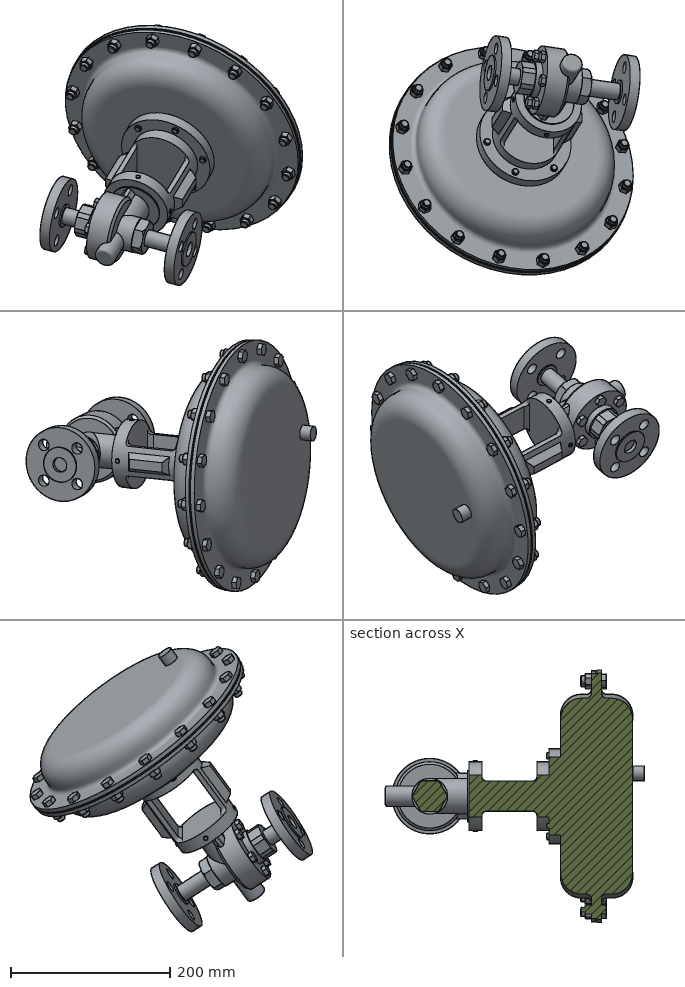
import cadquery as cq
import math

OVERLAP = 1.5

stub_end = -56.0
plate_bottom = 47.0
yoke_bottom = 49.0
window_bottom = 65.7
window_top = 134.3
hub_bottom = 149.5
casing_bottom = 164.0
rim_bottom = 203.0
rim_top = 215.5
casing_top = 255.0
port_end = 269.3

casing_radius = 128.0
casing_round = 26.7
rim_fillet = 6.2
cover_rim_radius = 158.7
cover_rim_bottom = 209.8
base_rim_radius = 157.7
base_rim_top = 207.8
diaphragm_radius = 157.5
port_radius = 9.5
port_x = -84.0
port_z = 28.5

rim_bolt_count = 16
rim_bolt_circle = 147.5
first_bolt_angle = 15.0
nut_radius = 8.0
nut_height = 8.0
nut_chamfer = 1.3
nut_turn = -7.5
head_turn = 30.0
head_height = 6.2
stud_radius = 5.2
stud_chamfer = 1.0
stud_projection = 5.5

hub_radius = 60.0
hub_screw_count = 6
hub_screw_circle = 52.5
hub_screw_radius = 4.2
hub_screw_height = 3.3
hub_screw_chamfer = 1.0

yoke_radius = 43.3
arm_half_width = 19.2
arm_fillet = 5.0
window_half_width = 32.5
gusset_width = 3.3
gusset_height = 6.2
plate_radius = 32.5
set_screw_y = 57.2
set_screw_radius = 3.0
set_screw_projection = 1.3
set_screw_chamfer = 0.5

pad_root_x = 40.3
pad_face_x = 52.0
pad_length = 58.2
pad_width = 25.5
pad_setback = 6.5

body_left = -29.3
body_right = 1.0
body_radius = 43.3
body_chamfer = 3.3
stub_radius = 13.0
stub_round = 3.0
neck_x = -3.3
bonnet_left = -15.3
bonnet_right = 0.0
bonnet_half_width = 29.0
bonnet_chamfer_x = 5.2
bonnet_chamfer_z = 6.5
body_bolt_count = 6
body_bolt_circle = 34.0
first_body_bolt_angle = 90.0
body_bolt_radius = 7.0
body_bolt_height = 5.5

collar_radius = 22.5
collar_left = -37.7
left_nut_end = -55.0
left_nut_flat = 20.5
right_nut_start = 21.0
right_nut_end = 35.8
pipe_nut_chamfer = 2.3
pipe_radius = 10.7
bore_radius = 9.5
bore_depth = 5.0
flange_radius = 47.5
flange_inner = 77.7
flange_outer = 90.7
flange_face_radius = 22.5
flange_face_end = 92.7
flange_hub_radius = 15.0
flange_hub_start = 75.8
flange_hole_count = 4
flange_hole_radius = 7.0
flange_hole_circle = 32.5
first_flange_hole_angle = 45.0


def y_cylinder(radius, y_start, y_end, x=0.0, z=0.0):
    """Cylinder along Y, from the lower to the higher station."""
    return cq.Workplane("XZ", origin=(x, y_start, z)).circle(radius).extrude(y_start - y_end)


def x_cylinder(radius, x_start, x_end, y=0.0, z=0.0):
    """Cylinder along X, from the lower to the higher station."""
    return cq.Workplane("YZ", origin=(x_start, y, z)).circle(radius).extrude(x_end - x_start)


def box_between(x_range, y_range, z_range):
    """Box between two stations on each axis."""
    size = [high - low for low, high in (x_range, y_range, z_range)]
    corner = (x_range[0], y_range[0], z_range[0])
    return cq.Workplane("XY").box(*size, centered=False).translate(corner)


def hexagon(plane, radius, turn, length):
    """Hexagonal prism with one corner at the given angle in its plane."""
    return cq.Workplane(plane).polygon(6, 2 * radius).extrude(length).rotate(
        (0, 0, 0), cq.Plane.named(plane).zDir.toTuple(), turn)


def ring_positions(count, radius, first_angle):
    """Angle and the two in-plane coordinates of equally spaced places on a circle."""
    places = []
    for index in range(count):
        angle = first_angle + index * 360.0 / count
        turn = math.radians(angle)
        places.append((angle, radius * math.cos(turn), radius * math.sin(turn)))
    return places


def half_casing(rim_face, flat_face):
    """Pressed dish whose fillet starts at the rim and whose round ends at the flat face."""
    outward = math.copysign(1.0, flat_face - rim_face)
    bend = math.sqrt(0.5)
    fillet_mid = rim_fillet * (1 - bend)
    return (
        cq.Workplane("XY")
        .moveTo(0, rim_face)
        .lineTo(casing_radius + rim_fillet, rim_face)
        .threePointArc(
            (casing_radius + fillet_mid, rim_face + outward * fillet_mid),
            (casing_radius, rim_face + outward * rim_fillet),
        )
        .lineTo(casing_radius, flat_face - outward * casing_round)
        .threePointArc(
            (casing_radius - casing_round * (1 - bend), flat_face - outward * casing_round * (1 - bend)),
            (casing_radius - casing_round, flat_face),
        )
        .lineTo(0, flat_face)
        .close()
        .revolve(360, (0, 0, 0), (0, 1, 0))
    )


def make_casing():
    casing = y_cylinder(base_rim_radius, rim_bottom, base_rim_top)
    casing = casing.union(y_cylinder(diaphragm_radius, base_rim_top, cover_rim_bottom))
    casing = casing.union(y_cylinder(cover_rim_radius, cover_rim_bottom, rim_top))
    casing = casing.union(half_casing(rim_bottom, casing_bottom))
    casing = casing.union(half_casing(rim_top, casing_top))
    return casing.union(y_cylinder(port_radius, casing_top - OVERLAP, port_end, port_x, port_z))


def make_rim_bolt():
    """Bolt at the origin of X and Z: nut and stud end below the rim, head above it."""
    nut_bottom = rim_bottom - nut_height
    nut = hexagon("XZ", nut_radius, nut_turn, nut_height).translate((0, rim_bottom, 0))
    nut_cone = y_cylinder(nut_radius, nut_bottom, rim_bottom).faces("<Y").chamfer(nut_chamfer)
    head = hexagon("XZ", nut_radius, head_turn, head_height).translate((0, rim_top + head_height, 0))
    stud = y_cylinder(stud_radius, nut_bottom - stud_projection, rim_top)
    stud = stud.faces("<Y").chamfer(stud_chamfer)
    return nut.intersect(nut_cone).union(stud).union(head)


def add_rim_bolts(part):
    bolt = make_rim_bolt()
    for angle, x, z in ring_positions(rim_bolt_count, rim_bolt_circle, first_bolt_angle):
        part = part.union(bolt.rotate((0, 0, 0), (0, 1, 0), -angle).translate((x, 0, z)))
    return part


def make_hub():
    hub = y_cylinder(hub_radius, hub_bottom, casing_bottom + OVERLAP)
    for _, x, z in ring_positions(hub_screw_count, hub_screw_circle, first_bolt_angle):
        screw = y_cylinder(hub_screw_radius, hub_bottom - hub_screw_height, hub_bottom + OVERLAP, x, z)
        hub = hub.union(screw.faces("<Y").chamfer(hub_screw_chamfer))
    return hub


def make_pad():
    """Tapered pad on the +X arm."""
    taper = math.degrees(math.atan(pad_setback / (pad_face_x - pad_root_x)))
    middle = (window_bottom + window_top) / 2
    return (
        cq.Workplane("YZ", origin=(pad_root_x, middle, 0))
        .rect(pad_length, pad_width)
        .extrude(pad_face_x - pad_root_x, taper=taper)
    )


def make_yoke():
    yoke = y_cylinder(yoke_radius, yoke_bottom, hub_bottom + OVERLAP)
    reach = 2 * yoke_radius
    heights = (window_bottom, window_top)
    for z_range, arm_side in (((arm_half_width, reach), "<Z"), ((-reach, -arm_half_width), ">Z")):
        side_cut = box_between((-reach, reach), heights, z_range)
        yoke = yoke.cut(side_cut.faces(arm_side).edges("|X").fillet(arm_fillet))

    window = (
        cq.Workplane("XY", origin=(0, 0, -reach))
        .moveTo(-window_half_width, window_top)
        .lineTo(window_half_width, window_top)
        .lineTo(window_half_width, window_bottom + gusset_height)
        .lineTo(window_half_width - gusset_width, window_bottom)
        .lineTo(gusset_width - window_half_width, window_bottom)
        .lineTo(-window_half_width, window_bottom + gusset_height)
        .close()
        .extrude(2 * reach)
    )
    yoke = yoke.cut(window)

    pad = make_pad()
    yoke = yoke.union(pad).union(pad.mirror("YZ"))

    screw_reach = yoke_radius + set_screw_projection
    screw_pair = x_cylinder(set_screw_radius, -screw_reach, screw_reach, set_screw_y)
    screw_pair = screw_pair.faces("<X or >X").chamfer(set_screw_chamfer)
    yoke = yoke.union(screw_pair).union(screw_pair.rotate((0, 0, 0), (0, 1, 0), 90))
    return yoke.union(y_cylinder(plate_radius, plate_bottom, yoke_bottom + OVERLAP))


def make_bonnet():
    """Block with bevelled corners that joins the valve body to the yoke plate."""
    side = bonnet_half_width - bonnet_chamfer_z
    outline = [
        (bonnet_left, -side),
        (bonnet_left + bonnet_chamfer_x, -bonnet_half_width),
        (bonnet_right - bonnet_chamfer_x, -bonnet_half_width),
        (bonnet_right, -side),
        (bonnet_right, side),
        (bonnet_right - bonnet_chamfer_x, bonnet_half_width),
        (bonnet_left + bonnet_chamfer_x, bonnet_half_width),
        (bonnet_left, side),
    ]
    return cq.Workplane("XZ").polyline(outline).close().extrude(-(plate_bottom + OVERLAP))


def make_neck():
    """Side of the neck that stands clear of the bonnet and meets the collar in a mitre."""
    top = plate_bottom + OVERLAP
    clear_side = box_between((bonnet_right - OVERLAP, body_radius), (0, top), (-body_radius, body_radius))
    return y_cylinder(collar_radius, 0, top, neck_x).intersect(clear_side)


def make_valve_body():
    body = x_cylinder(body_radius, body_left, body_right).faces(">X").chamfer(body_chamfer)
    body = body.union(x_cylinder(collar_radius, 0, right_nut_start + OVERLAP))
    body = body.union(x_cylinder(collar_radius, collar_left, body_left + OVERLAP))
    body = body.union(make_neck()).union(make_bonnet())
    stub = y_cylinder(stub_radius, stub_end, 0)
    body = body.union(stub.faces("<Y").edges().fillet(stub_round))
    for _, y, z in ring_positions(body_bolt_count, body_bolt_circle, first_body_bolt_angle):
        bolt = hexagon("YZ", body_bolt_radius, 0, body_bolt_height + OVERLAP)
        body = body.union(bolt.translate((body_left - body_bolt_height, y, z)))
    return body


def make_pipe_nut(x_start, x_end, outer_face):
    """Hexagonal nut whose outer end is chamfered all round."""
    nut = hexagon("YZ", collar_radius, 0, x_end - x_start).translate((x_start, 0, 0))
    round_bar = x_cylinder(collar_radius, x_start, x_end)
    return nut.intersect(round_bar.faces(outer_face).chamfer(pipe_nut_chamfer))


def make_left_nut():
    """Pipe nut with its six corners trimmed to narrow flats."""
    half_sector = 180.0 / 6
    trim_radius = left_nut_flat / math.cos(math.radians(half_sector))
    trim = hexagon("YZ", trim_radius, half_sector, collar_left - left_nut_end).translate((left_nut_end, 0, 0))
    return make_pipe_nut(left_nut_end, collar_left, "<X").intersect(trim)


def make_pipe_end(nut_end):
    """Pipe and flange on the +X side, with bolt holes and a shallow bore."""
    end = x_cylinder(pipe_radius, nut_end - OVERLAP, flange_inner + OVERLAP)
    end = end.union(x_cylinder(flange_hub_radius, flange_hub_start, flange_inner + OVERLAP))
    end = end.union(x_cylinder(flange_radius, flange_inner, flange_outer))
    end = end.union(x_cylinder(flange_face_radius, flange_outer - OVERLAP, flange_face_end))
    for _, y, z in ring_positions(flange_hole_count, flange_hole_circle, first_flange_hole_angle):
        end = end.cut(x_cylinder(flange_hole_radius, flange_inner, flange_outer, y, z))
    return end.cut(x_cylinder(bore_radius, flange_face_end - bore_depth, flange_face_end))


result = add_rim_bolts(make_casing())
result = result.union(make_hub()).union(make_yoke()).union(make_valve_body())
result = result.union(make_left_nut())
result = result.union(make_pipe_nut(right_nut_start, right_nut_end, ">X"))
result = result.union(make_pipe_end(right_nut_end))
result = result.union(make_pipe_end(-left_nut_end).mirror("YZ"))